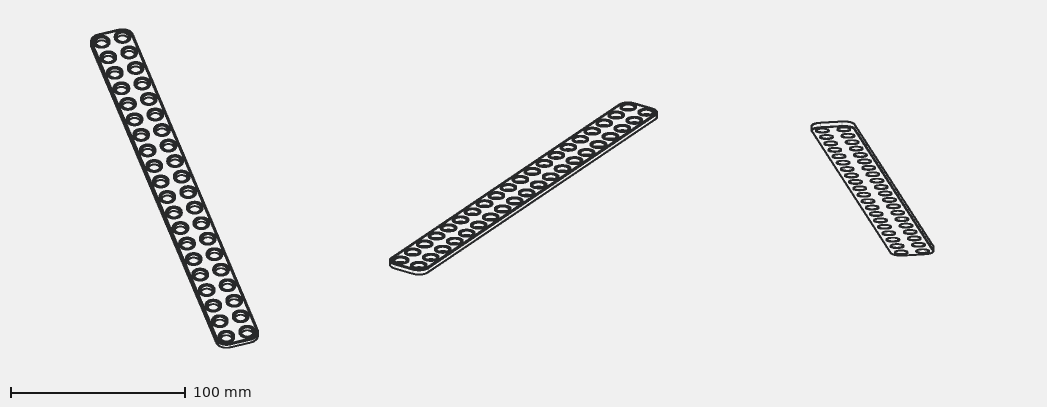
import cadquery as cq


pitch = 12.5
columns = 20
rows = 2
length = columns * pitch
width = rows * pitch
thickness = pitch / 4
corner_radius = pitch / 2

hole_diameter = 7.0
ring_diameter = 9.2
border_width = 0.8
recess_depth = 0.2
rim_chamfer = 0.3


def rounded_plate(inset, height):
    """Rounded rectangle following the plate outline at the given inset."""
    return (
        cq.Workplane("XY")
        .box(length - 2 * inset, width - 2 * inset, height)
        .edges("|Z")
        .fillet(corner_radius - inset)
    )


def hole_grid():
    """Workplane with one point at the centre of every hole."""
    return cq.Workplane("XY").rarray(pitch, pitch, columns, rows)


def make_recess():
    """Cutter that sinks the top face inside the border, sparing the rings."""
    rings = hole_grid().circle(ring_diameter / 2).extrude(recess_depth, both=True)
    recess = rounded_plate(border_width, recess_depth).cut(rings)
    return recess.translate((0, 0, (thickness - recess_depth) / 2))


def make_hole_cutter():
    """Through hole with a chamfer at both faces, as one revolved body."""
    hole_radius = hole_diameter / 2
    mouth_radius = hole_radius + rim_chamfer
    top = thickness / 2
    chamfer_end = top - rim_chamfer
    profile = [
        (0, -top),
        (mouth_radius, -top),
        (hole_radius, -chamfer_end),
        (hole_radius, chamfer_end),
        (mouth_radius, top),
        (0, top),
    ]
    return cq.Workplane("XZ").polyline(profile).close().revolve(360, (0, 0), (0, 1)).val()


plate = rounded_plate(0, thickness)
plate = plate.faces("<Z or >Z").edges().chamfer(rim_chamfer)

hole_cutter = make_hole_cutter()
holes = hole_grid().eachpoint(lambda location: hole_cutter.moved(location))

result = plate.cut(make_recess()).cut(holes)